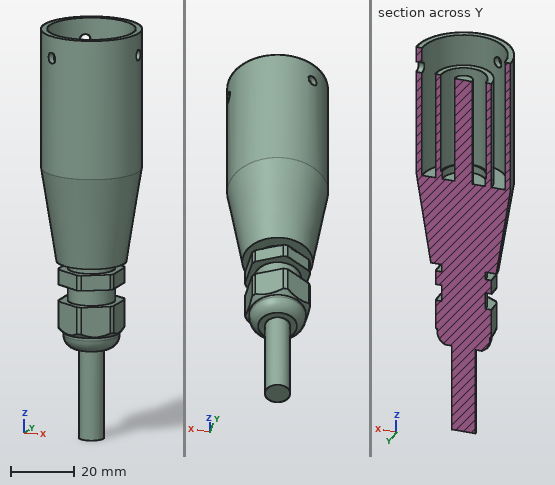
import cadquery as cq
import math

total_height = 133.3
sleeve_bottom = 88.2
cone_bottom = 57.7
lock_nut_top = 55.3
lock_nut_bottom = 50.4
cap_nut_top = 44.9
cap_nut_bottom = 34.7
dome_top = 33.9
dome_bottom = 29.6

sleeve_diameter = 32.0
cone_end_diameter = 22.3
neck_diameter = 15.0
cable_diameter = 8.0

cavity_diameter = 28.0
socket_outer_diameter = 19.0
socket_inner_diameter = 15.2
socket_floor_diameter = 14.4
pin_diameter = 6.0
socket_recess = 8.4
pin_recess = 8.8
socket_floor_drop = 2.7
cavity_floor = sleeve_bottom

hole_diameter = 3.5
hole_count = 3
hole_distance_from_rim = 7.0
hole_height = total_height - hole_distance_from_rim

nut_across_flats = 18.9
nut_corner_diameter = 21.0
dome_diameter = 18.0
dome_end_radius = 6.1


def cylinder(diameter, bottom, top):
    return cq.Workplane("XY").workplane(offset=bottom).circle(diameter / 2).extrude(top - bottom)


def hex_nut(bottom, top):
    """Hexagon with flats facing +/-X and its corners turned to a cylinder."""
    across_corners = nut_across_flats / math.cos(math.pi / 6)
    hexagon = (
        cq.Workplane("XY")
        .workplane(offset=bottom)
        .transformed(rotate=(0, 0, 90))
        .polygon(6, across_corners)
        .extrude(top - bottom)
    )
    return hexagon.intersect(cylinder(nut_corner_diameter, bottom, top))


def outer_body():
    """Sleeve and tapered tail."""
    sleeve_radius = sleeve_diameter / 2
    return (
        cq.Workplane("XZ")
        .moveTo(0, cone_bottom)
        .lineTo(cone_end_diameter / 2, cone_bottom)
        .lineTo(sleeve_radius, sleeve_bottom)
        .lineTo(sleeve_radius, total_height)
        .lineTo(0, total_height)
        .close()
        .revolve(360, (0, 0, 0), (0, 1, 0))
    )


def contact_socket():
    """Tube with a stepped floor around a centre pin, standing in the cavity."""
    socket_top = total_height - socket_recess
    step_height = cavity_floor + socket_floor_drop
    tube = cylinder(socket_outer_diameter, cavity_floor, socket_top)
    tube = tube.cut(cylinder(socket_inner_diameter, step_height, socket_top))
    tube = tube.cut(cylinder(socket_floor_diameter, cavity_floor, step_height))
    pin = cylinder(pin_diameter, cavity_floor, total_height - pin_recess)
    return tube.union(pin)


def sleeve_holes():
    """Radial holes spaced evenly around the sleeve, the first on +X."""
    start_radius = (socket_outer_diameter + cavity_diameter) / 4
    hole = (
        cq.Workplane("YZ")
        .workplane(offset=start_radius)
        .center(0, hole_height)
        .circle(hole_diameter / 2)
        .extrude(sleeve_diameter / 2)
    )
    holes = cq.Workplane("XY")
    for index in range(hole_count):
        holes = holes.add(hole.rotate((0, 0, 0), (0, 0, 1), index * 360 / hole_count))
    return holes.combine()


def cap_nut():
    """Hex nut with its lower corners turned to a 45 degree cone."""
    corner_radius = nut_corner_diameter / 2
    dome_radius = dome_diameter / 2
    chamfer_top = cap_nut_bottom + corner_radius - dome_radius
    envelope = (
        cq.Workplane("XZ")
        .moveTo(0, cap_nut_bottom)
        .lineTo(dome_radius, cap_nut_bottom)
        .lineTo(corner_radius, chamfer_top)
        .lineTo(corner_radius, cap_nut_top)
        .lineTo(0, cap_nut_top)
        .close()
        .revolve(360, (0, 0, 0), (0, 1, 0))
    )
    return hex_nut(cap_nut_bottom, cap_nut_top).intersect(envelope)


def dome():
    """Short collar under the cap nut with a rounded end."""
    dome_radius = dome_diameter / 2
    return (
        cq.Workplane("XZ")
        .moveTo(0, cap_nut_bottom)
        .lineTo(dome_radius, cap_nut_bottom)
        .lineTo(dome_radius, dome_top)
        .tangentArcPoint((dome_end_radius, dome_bottom), relative=False)
        .lineTo(0, dome_bottom)
        .close()
        .revolve(360, (0, 0, 0), (0, 1, 0))
    )


body = outer_body().cut(cylinder(cavity_diameter, cavity_floor, total_height))
body = body.union(contact_socket()).cut(sleeve_holes())

neck = cylinder(neck_diameter, cap_nut_top, cone_bottom)
cable = cylinder(cable_diameter, 0, dome_bottom)
lock_nut = hex_nut(lock_nut_bottom, lock_nut_top)

result = body.union(neck).union(lock_nut).union(cap_nut()).union(dome()).union(cable)